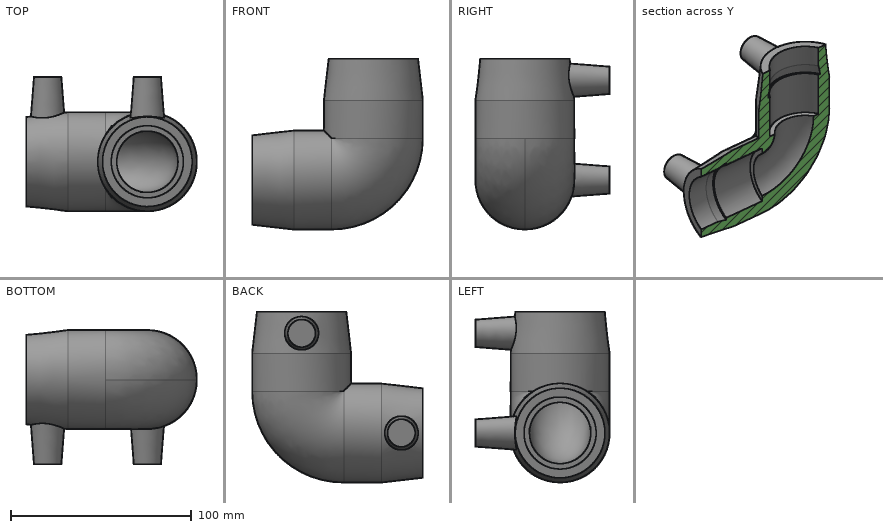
import cadquery as cq
import math


body_diameter = 55.0
mouth_diameter = 49.7
overall_length = 94.75
taper_length = 23.0
bend_start_depth = 44.0

body_radius = body_diameter / 2
arm_length = overall_length - body_radius
bend_radius = arm_length - bend_start_depth

socket_diameter = 40.0
passage_diameter = 34.0
socket_depth = bend_start_depth
groove_diameter = 42.2
groove_start_depth = 12.0
groove_end_depth = 18.0

terminal_depth = 12.0
terminal_tip_y = 47.0
terminal_tip_diameter = 15.3
terminal_root_y = 22.0
terminal_root_diameter = 19.2


def along_arms(shape):
    """Return a shape made on the vertical arm together with its twin on the horizontal arm."""
    twin = shape.rotate((0, 0, 0), (0, 1, 0), -90).mirror("XY")
    return shape.union(twin)


def arm_body():
    """Straight arm with a taper towards its mouth."""
    profile = (
        cq.Workplane("XZ")
        .moveTo(0, bend_radius)
        .lineTo(body_radius, bend_radius)
        .lineTo(body_radius, arm_length - taper_length)
        .lineTo(mouth_diameter / 2, arm_length)
        .lineTo(0, arm_length)
        .close()
    )
    return profile.revolve(360, (0, 0, 0), (0, 1, 0))


def bend_body_half(side):
    """Outer bend on the +Y (side = 1) or -Y (side = -1) half of the part.

    The section is wider than the bend radius, so it is cut off at the turning axis.
    """
    half_chord = math.sqrt(body_radius**2 - bend_radius**2)
    arc_middle = body_radius * math.sqrt(0.5)
    section = (
        cq.Workplane("XY", origin=(0, 0, bend_radius))
        .moveTo(-bend_radius, 0)
        .lineTo(body_radius, 0)
        .threePointArc((arc_middle, side * arc_middle), (-bend_radius, side * half_chord))
        .close()
    )
    return section.revolve(90, (-bend_radius, 0, 0), (-bend_radius, 1, 0))


def terminal():
    """Tapered solid terminal on the +Y side of the vertical arm."""
    axis_z = arm_length - terminal_depth
    profile = (
        cq.Workplane("YZ", origin=(0, 0, axis_z))
        .moveTo(terminal_root_y, 0)
        .lineTo(terminal_tip_y, 0)
        .lineTo(terminal_tip_y, terminal_tip_diameter / 2)
        .lineTo(terminal_root_y, terminal_root_diameter / 2)
        .close()
    )
    return profile.revolve(360, (0, 0, 0), (1, 0, 0))


def bore():
    """Socket of the vertical arm with a groove that flares inward and ends in a square shoulder."""
    socket_radius = socket_diameter / 2
    profile = (
        cq.Workplane("XZ")
        .moveTo(0, arm_length)
        .lineTo(socket_radius, arm_length)
        .lineTo(socket_radius, arm_length - groove_start_depth)
        .lineTo(groove_diameter / 2, arm_length - groove_end_depth)
        .lineTo(socket_radius, arm_length - groove_end_depth)
        .lineTo(socket_radius, arm_length - socket_depth)
        .lineTo(0, arm_length - socket_depth)
        .close()
    )
    return profile.revolve(360, (0, 0, 0), (0, 1, 0))


def passage_bend():
    """Quarter turn of the round passage joining the two sockets."""
    section = cq.Workplane("XY", origin=(0, 0, bend_radius)).circle(passage_diameter / 2)
    return section.revolve(90, (-bend_radius, 0, 0), (-bend_radius, 1, 0))


outside = along_arms(arm_body().union(terminal()))
for side in (1, -1):
    outside = outside.union(bend_body_half(side))

inside = along_arms(bore()).union(passage_bend())
result = outside.cut(inside)